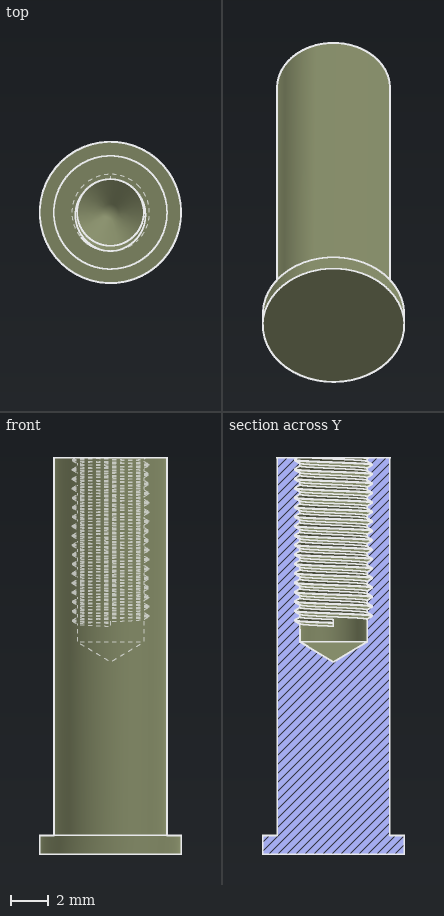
import cadquery as cq
import math

height = 21.0
body_diameter = 6.0
flange_diameter = 7.5
flange_thickness = 1.0

bore_diameter = 3.53
thread_major_diameter = 4.09
thread_pitch = 0.5
thread_angle = 60.0
root_flat = thread_pitch / 16
thread_turns = 18
runout_turns = 0.5
plain_bore_length = 2 * thread_pitch
drill_point_angle = 118.0

turn_start_angle = 90.0

cutter_overlap = 0.05

bore_radius = bore_diameter / 2
root_radius = thread_major_diameter / 2
thread_start = height - (thread_turns - runout_turns) * thread_pitch


def make_body():
    """Round post standing on a thin round flange."""
    flange = cq.Workplane("XY").circle(flange_diameter / 2).extrude(flange_thickness)
    post = cq.Workplane("XY").circle(body_diameter / 2).extrude(height)
    return flange.union(post)


def make_bore():
    """Solid of the blind bore with its conical drill point."""
    bore_floor = thread_start - plain_bore_length
    point_depth = bore_radius / math.tan(math.radians(drill_point_angle / 2))
    return (
        cq.Workplane("XZ")
        .moveTo(0, height)
        .lineTo(bore_radius, height)
        .lineTo(bore_radius, bore_floor)
        .lineTo(0, bore_floor - point_depth)
        .close()
        .revolve(360, (0, 0, 0), (0, 1, 0))
    )


def make_groove_turn():
    """One turn of the thread groove: a V with a flat root swept along a right-hand helix."""
    inner_radius = bore_radius - cutter_overlap
    root_half_width = root_flat / 2
    flank_spread = (root_radius - inner_radius) * math.tan(math.radians(thread_angle / 2))
    mouth_half_width = root_half_width + flank_spread
    helix = cq.Wire.makeHelix(thread_pitch, thread_pitch, bore_radius)
    return (
        cq.Workplane("XZ")
        .moveTo(inner_radius, -mouth_half_width)
        .lineTo(root_radius, -root_half_width)
        .lineTo(root_radius, root_half_width)
        .lineTo(inner_radius, mouth_half_width)
        .close()
        .sweep(cq.Workplane(obj=helix), isFrenet=True)
        .rotate((0, 0, 0), (0, 0, 1), turn_start_angle)
    )


def cut_thread(body):
    """Cut the groove turn by turn, from the deepest one up to the open top."""
    groove_turn = make_groove_turn()
    for turn in range(thread_turns):
        placed_turn = groove_turn.translate((0, 0, thread_start + turn * thread_pitch))
        body = body.cut(placed_turn, clean=False)
    return body


result = cut_thread(make_body().cut(make_bore())).solids()